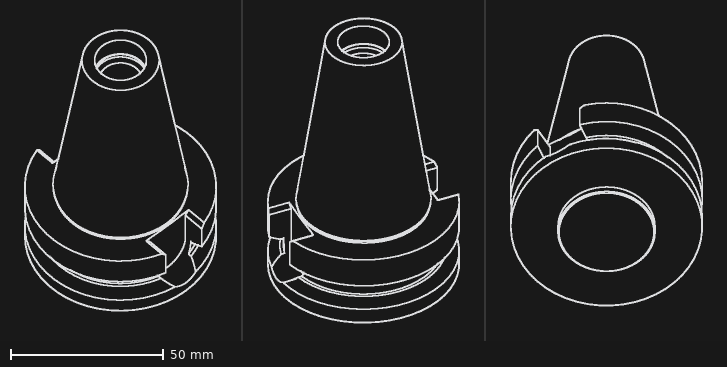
import cadquery as cq
import math

total_height = 95.4
boss_height = 3.0
groove_lower_rim = 8.6
groove_floor_bottom = 10.9
groove_floor_top = 16.0
groove_upper_rim = 18.3
flange_top = 29.1
neck_top = 29.4
gauge_plane = 30.0

boss_diameter = 32.0
flange_diameter = 63.0
groove_diameter = 52.7
neck_diameter = 43.9
taper_large_diameter = 44.5
taper_ratio = 7 / 24

boss_chamfer = 0.4
recess_diameter = 46.9
recess_depth = 0.4
groove_flank_angle = math.radians(30)

bore_diameter = 17.0
bore_depth = 7.5
relief_diameter = 17.5
relief_bottom_depth = 9.2
bore_shoulder_angle = math.radians(30)
pilot_diameter = 14.0
pilot_depth = 29.6
drill_tip_angle = math.radians(118)

slot_width = 16.1
slot_floor_distance = 22.5
slot_bottom = 7.2
slot_chamfer = 1.5


def make_body():
    """Turned boss, grooved flange, neck and taper."""
    flange_radius = flange_diameter / 2
    groove_radius = groove_diameter / 2
    neck_radius = neck_diameter / 2
    boss_radius = boss_diameter / 2
    taper_large_radius = taper_large_diameter / 2
    taper_small_radius = taper_large_radius - (total_height - gauge_plane) * taper_ratio / 2
    lower_flank_run = (groove_floor_bottom - groove_lower_rim) / math.tan(groove_flank_angle)
    upper_flank_run = (groove_upper_rim - groove_floor_top) / math.tan(groove_flank_angle)
    profile = [
        (0, 0),
        (boss_radius - boss_chamfer, 0),
        (boss_radius, boss_chamfer),
        (boss_radius, boss_height),
        (flange_radius, boss_height),
        (flange_radius, groove_lower_rim),
        (flange_radius - lower_flank_run, groove_floor_bottom),
        (groove_radius, groove_floor_bottom),
        (groove_radius, groove_floor_top),
        (flange_radius - upper_flank_run, groove_floor_top),
        (flange_radius, groove_upper_rim),
        (flange_radius, flange_top),
        (recess_diameter / 2, flange_top),
        (neck_radius, flange_top - recess_depth),
        (neck_radius, neck_top),
        (taper_large_radius, gauge_plane),
        (taper_small_radius, total_height),
        (0, total_height),
    ]
    return cq.Workplane("XZ").polyline(profile).close().revolve(360, (0, 0), (0, 1))


def make_bore():
    """Counterbore, relief groove, conical shoulder, pilot hole and drill tip as one cutter."""
    bore_radius = bore_diameter / 2
    relief_radius = relief_diameter / 2
    pilot_radius = pilot_diameter / 2
    relief_top = total_height - bore_depth
    shoulder_top = total_height - relief_bottom_depth
    shoulder_drop = (relief_radius - pilot_radius) * math.tan(bore_shoulder_angle)
    pilot_bottom = total_height - pilot_depth
    tip_drop = pilot_radius / math.tan(drill_tip_angle / 2)
    profile = [
        (0, total_height),
        (bore_radius, total_height),
        (bore_radius, relief_top),
        (relief_radius, relief_top),
        (relief_radius, shoulder_top),
        (pilot_radius, shoulder_top - shoulder_drop),
        (pilot_radius, pilot_bottom),
        (0, pilot_bottom - tip_drop),
    ]
    return cq.Workplane("XZ").polyline(profile).close().revolve(360, (0, 0), (0, 1))


def make_slot(side):
    """Round-bottomed drive slot with chamfered mouth; side is -1 or +1 along X."""
    half_width = slot_width / 2
    mouth_half_width = half_width + slot_chamfer
    slot_length = flange_diameter / 2 - slot_floor_distance
    return (
        cq.Workplane("YZ", origin=(side * slot_floor_distance, 0, 0))
        .moveTo(-mouth_half_width, flange_top)
        .lineTo(-half_width, flange_top - slot_chamfer)
        .lineTo(-half_width, slot_bottom + half_width)
        .threePointArc((0, slot_bottom), (half_width, slot_bottom + half_width))
        .lineTo(half_width, flange_top - slot_chamfer)
        .lineTo(mouth_half_width, flange_top)
        .close()
        .extrude(side * slot_length)
    )


result = make_body().cut(make_bore())
for slot_side in (-1, 1):
    result = result.cut(make_slot(slot_side))